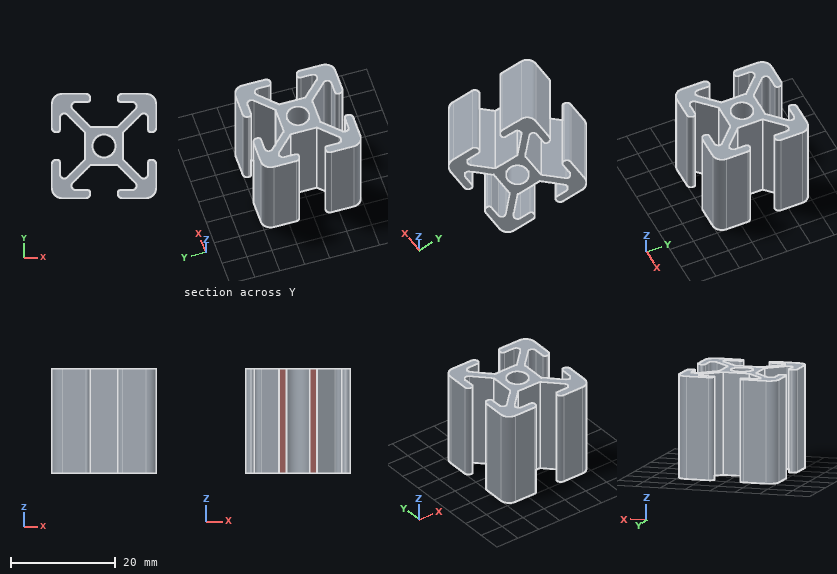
import cadquery as cq
import math

side = 20.0
length = 20.0
corner_radius = 2.0

slot_count = 4
slot_opening = 5.25
lip_thickness = 1.6
lip_outer_radius = 0.875
lip_inner_radius = 0.55
slot_corner_radius = 0.8

core_side = 7.35
web_thickness = 1.5
bore_diameter = 4.35

point_tolerance = 0.01

half_side = side / 2
half_opening = slot_opening / 2
half_core = core_side / 2
lip_inner = half_side - lip_thickness
web_offset = web_thickness / 2 * math.sqrt(2)
core_face_half_width = half_core - web_offset
slot_half_width = lip_inner - web_offset


def rounded_block():
    """Solid square bar with rounded long edges."""
    bar = cq.Workplane("XY").rect(side, side).extrude(length)
    return bar.edges("|Z").fillet(corner_radius)


def slot_cavity_cutter():
    """Trapezoid behind the lips of the +Y slot, with its two sharp outer corners rounded."""
    cavity = (
        cq.Workplane("XY")
        .moveTo(-core_face_half_width, half_core)
        .lineTo(core_face_half_width, half_core)
        .lineTo(slot_half_width, lip_inner)
        .lineTo(-slot_half_width, lip_inner)
        .close()
        .extrude(length)
    )
    return cavity.edges("|Z and >Y").fillet(slot_corner_radius)


def slot_cutter():
    """Full +Y slot: the cavity and the opening between the lips."""
    opening_depth = half_side - half_core
    opening = (
        cq.Workplane("XY")
        .center(0, half_core + opening_depth / 2)
        .rect(slot_opening, opening_depth)
        .extrude(length)
    )
    return slot_cavity_cutter().union(opening)


def lip_tip_edges(body, distance_from_axis):
    """Vertical lip-tip edges of all four slots at the given distance from the Z axis."""
    points = []
    for sign in (-1, 1):
        for tip in (-half_opening, half_opening):
            points.append((tip, sign * distance_from_axis))
            points.append((sign * distance_from_axis, tip))
    edges = body.edges("|Z")
    return edges.filter(
        lambda edge: any(
            math.dist((edge.Center().x, edge.Center().y), point) < point_tolerance for point in points
        )
    )


def cut_slots(body):
    """Cut the same slot into all four sides."""
    slot = slot_cutter()
    for index in range(slot_count):
        angle = 360 / slot_count * index
        body = body.cut(slot.rotate((0, 0, 0), (0, 0, 1), angle))
    return body


def round_lip_tips(body):
    """Round the outer and the inner corner of every lip tip."""
    body = lip_tip_edges(body, half_side).fillet(lip_outer_radius)
    return lip_tip_edges(body, lip_inner).fillet(lip_inner_radius)


def cut_bore(body):
    """Cut the round hole through the core."""
    bore = cq.Workplane("XY").circle(bore_diameter / 2).extrude(length)
    return body.cut(bore)


result = rounded_block()
result = cut_slots(result)
result = round_lip_tips(result)
result = cut_bore(result)